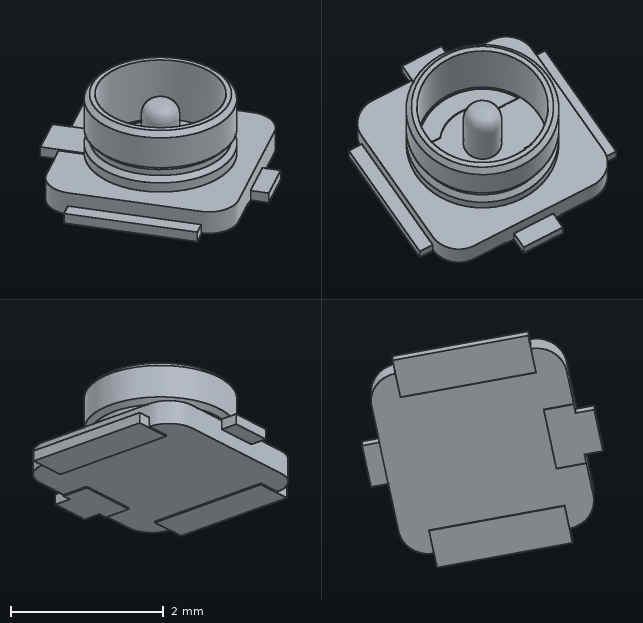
import cadquery as cq

LENGTH = 3.1
WIDTH = 3.0
HEIGHT = 1.25

PLATE_SIDE = 2.605
PLATE_CORNER_RADIUS = 0.4
PLATE_BOTTOM = 0.02
PLATE_TOP = 0.35

SHEET_THICKNESS = 0.15
GROUND_PAD_WIDTH = 1.81
GROUND_PAD_INNER_Y = 0.965
TAB_WIDTH = 0.6
RAISED_TAB_TOP = 0.37
SIGNAL_PAD_WIDTH = 0.852
SIGNAL_PAD_INNER_X = PLATE_SIDE / 2 - PLATE_CORNER_RADIUS

SHELL_RADIUS = 1.0
GROOVE_RADIUS = 0.93
BORE_RADIUS = 0.86
BEVEL = SHELL_RADIUS - GROOVE_RADIUS
GROOVE_BOTTOM = 0.56
GROOVE_TOP = 0.65

POCKET_DEPTH = 0.02
POCKET_RADIUS = 0.84
WEB_WIDTH = 0.707
WEB_RADIUS = 0.56

PIN_RADIUS = 0.25
PIN_TOP = 1.147
PIN_FLAT_RADIUS = 0.05
DOME_RADIUS = PIN_RADIUS - PIN_FLAT_RADIUS


def block(x_range, y_range, z_range):
    """Axis-aligned block given by its lower and upper limits."""
    limits = (x_range, y_range, z_range)
    sizes = [high - low for low, high in limits]
    corner = tuple(low for low, high in limits)
    return cq.Workplane("XY").box(*sizes, centered=False).translate(corner)


def disc(radius, bottom, top):
    return cq.Workplane("XY").workplane(offset=bottom).circle(radius).extrude(top - bottom)


def make_plate():
    plate = cq.Workplane("XY").workplane(offset=PLATE_BOTTOM).rect(PLATE_SIDE, PLATE_SIDE)
    return plate.extrude(PLATE_TOP - PLATE_BOTTOM).edges("|Z").fillet(PLATE_CORNER_RADIUS)


def make_shell():
    profile = [
        (BORE_RADIUS, PLATE_BOTTOM),
        (SHELL_RADIUS, PLATE_BOTTOM),
        (SHELL_RADIUS, GROOVE_BOTTOM - BEVEL),
        (GROOVE_RADIUS, GROOVE_BOTTOM),
        (GROOVE_RADIUS, GROOVE_TOP),
        (SHELL_RADIUS, GROOVE_TOP + BEVEL),
        (SHELL_RADIUS, HEIGHT - BEVEL),
        (GROOVE_RADIUS, HEIGHT),
        (BORE_RADIUS, HEIGHT),
    ]
    return cq.Workplane("XZ").polyline(profile).close().revolve(360, (0, 0), (0, 1))


def make_floor_pockets():
    """Shallow pockets left in the floor on both sides of the raised web."""
    depth_range = (PLATE_TOP - POCKET_DEPTH, PLATE_TOP)
    strip = block(
        (-WEB_WIDTH / 2, WEB_WIDTH / 2), (-BORE_RADIUS, BORE_RADIUS), depth_range
    )
    return disc(POCKET_RADIUS, *depth_range).cut(strip).cut(disc(WEB_RADIUS, *depth_range))


def make_pin():
    return disc(PIN_RADIUS, PLATE_BOTTOM, PIN_TOP).faces(">Z").edges().fillet(DOME_RADIUS)


def make_terminals():
    half_tab = TAB_WIDTH / 2
    half_signal = SIGNAL_PAD_WIDTH / 2
    half_ground = GROUND_PAD_WIDTH / 2
    tab_y = (-half_tab, half_tab)
    raised_tab = block(
        (-LENGTH / 2, -BORE_RADIUS), tab_y, (RAISED_TAB_TOP - SHEET_THICKNESS, RAISED_TAB_TOP)
    )
    signal_tab = block((SIGNAL_PAD_INNER_X, LENGTH / 2), tab_y, (0, SHEET_THICKNESS))
    signal_pad = block(
        (SIGNAL_PAD_INNER_X, PLATE_SIDE / 2), (-half_signal, half_signal), (0, SHEET_THICKNESS)
    )
    ground_pad = block(
        (-half_ground, half_ground), (GROUND_PAD_INNER_Y, WIDTH / 2), (0, SHEET_THICKNESS)
    )
    return [raised_tab, signal_tab, signal_pad, ground_pad, ground_pad.mirror("XZ")]


result = make_plate().cut(make_floor_pockets())
for piece in [make_shell(), make_pin(), *make_terminals()]:
    result = result.union(piece)